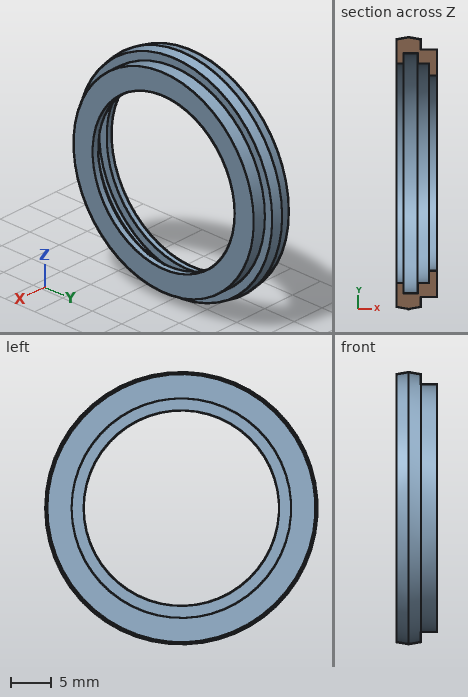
import cadquery as cq
import math

length = 5.0
flange_width = 3.0
crest_x = flange_width / 2
groove_start = 0.9
groove_width = 1.7
groove_end = groove_start + groove_width
bore_depth = 4.0

crest_diameter = 33.5
spigot_diameter = 30.5
groove_diameter = 29.5
bore_diameter = 27.0
lip_diameter = 24.0

rim_taper = math.radians(10)


def ring_body():
    """Solid of revolution: flange with a crowned rim, then a plain spigot."""
    crest = crest_diameter / 2
    edge = crest - crest_x * math.tan(rim_taper)
    spigot = spigot_diameter / 2
    return (
        cq.Workplane("XY")
        .moveTo(0, 0)
        .lineTo(0, edge)
        .lineTo(crest_x, crest)
        .lineTo(flange_width, edge)
        .lineTo(flange_width, spigot)
        .lineTo(length, spigot)
        .lineTo(length, 0)
        .close()
        .revolve(360, (0, 0, 0), (1, 0, 0))
    )


def round_cutter(diameter, start, end):
    """Cylinder about the X axis between two axial stations."""
    return cq.Workplane("YZ", origin=(start, 0, 0)).circle(diameter / 2).extrude(end - start)


result = (
    ring_body()
    .cut(round_cutter(lip_diameter, 0, length))
    .cut(round_cutter(bore_diameter, 0, bore_depth))
    .cut(round_cutter(groove_diameter, groove_start, groove_end))
)